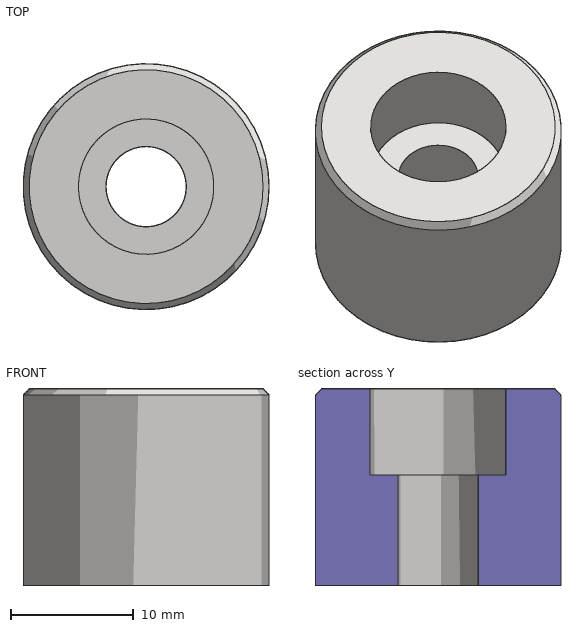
import cadquery as cq

outer_diameter = 20.0
height = 16.0
top_chamfer = 0.5
through_hole_diameter = 6.5
counterbore_diameter = 11.0
counterbore_depth = 7.0


def make_body():
    """Upright cylinder standing on Z = 0, with its top outer edge chamfered."""
    cylinder = cq.Workplane("XY").circle(outer_diameter / 2).extrude(height)
    return cylinder.faces(">Z").edges().chamfer(top_chamfer)


def cut_counterbored_hole(body):
    """Central through hole, counterbored from the top face."""
    return (
        body.faces(">Z")
        .workplane()
        .cboreHole(through_hole_diameter, counterbore_diameter, counterbore_depth)
    )


result = cut_counterbored_hole(make_body())